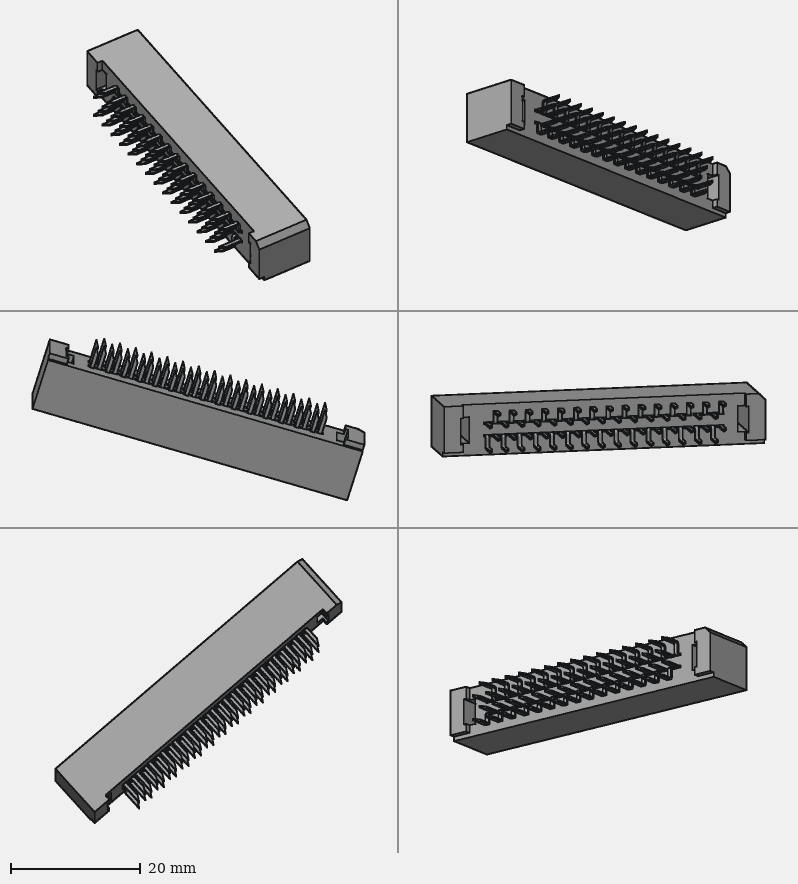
import cadquery as cq
import math

LENGTH = 50.7
HEIGHT = 8.0
OVERALL_DEPTH = 12.0
HOUSING_DEPTH = 8.25
CORNER_CHAMFER = 1.0

EAR_WIDTH = 3.05
EAR_PROJECTION = 0.9
EAR_BOTTOM = 0.72

SLOT_WIDTH = 1.52
SLOT_HEIGHT = 4.1
SLOT_END_MARGIN = 2.65

CONTACT_COUNT = 30
PITCH = 1.27
INNER_ROW_OFFSET = 1.0
OUTER_ROW_OFFSET = 2.84
THICKNESS = 0.3
PIN_WIDTH = 0.63
BASE_WIDTH = 1.0
BASE_PROJECTION = 0.14
BASE_EMBED = 0.3
INNER_BEND = 0.18
TIP_LENGTH = 1.05
TIP_WIDTH = 0.05

MID_HEIGHT = HEIGHT / 2
OUTER_BEND = INNER_BEND + THICKNESS
LEG_FRONT = BASE_PROJECTION + OUTER_BEND
PIN_REACH = OVERALL_DEPTH - HOUSING_DEPTH


def make_ear(side):
    ear = cq.Workplane("XY").box(
        EAR_WIDTH, HOUSING_DEPTH + EAR_PROJECTION, HEIGHT - EAR_BOTTOM, centered=(True, False, False)
    )
    return ear.translate((side * (LENGTH - EAR_WIDTH) / 2, -EAR_PROJECTION, EAR_BOTTOM))


def make_slot(side):
    center_x = side * (LENGTH / 2 - SLOT_END_MARGIN - SLOT_WIDTH / 2)
    slot = cq.Workplane("XY").box(SLOT_WIDTH, 2 * (HOUSING_DEPTH + EAR_PROJECTION), SLOT_HEIGHT)
    return slot.translate((center_x, 0, MID_HEIGHT))


def make_housing():
    housing = cq.Workplane("XY").box(LENGTH, HOUSING_DEPTH, HEIGHT, centered=(True, False, False))
    for side in (-1, 1):
        housing = housing.union(make_ear(side))
    housing = housing.edges("|Y and >X and >Z").chamfer(CORNER_CHAMFER)
    for side in (-1, 1):
        housing = housing.cut(make_slot(side))
    return housing


def make_base():
    """Wide contact root, reaching into the housing so the two fuse."""
    base = cq.Workplane("XY").box(BASE_WIDTH, BASE_PROJECTION + BASE_EMBED, THICKNESS)
    return base.translate((0, (BASE_EMBED - BASE_PROJECTION) / 2, INNER_ROW_OFFSET))


def make_pin_plan():
    """Plan outline of a pin with a one-sided taper, extruded through every height it may reach."""
    half = PIN_WIDTH / 2
    return (
        cq.Workplane("XY")
        .moveTo(-half, BASE_EMBED)
        .lineTo(half, BASE_EMBED)
        .lineTo(half, TIP_LENGTH - PIN_REACH)
        .lineTo(TIP_WIDTH - half, -PIN_REACH)
        .lineTo(-half, -PIN_REACH)
        .close()
        .extrude(MID_HEIGHT)
    )


def make_straight_contact():
    strip = cq.Workplane("XY").box(PIN_WIDTH, 2 * PIN_REACH, THICKNESS)
    strip = strip.translate((0, 0, INNER_ROW_OFFSET))
    return make_base().union(make_pin_plan().intersect(strip))


def make_bent_contact():
    """Contact that steps from the inner row out to the outer row through two right-angle bends."""
    inner_low = INNER_ROW_OFFSET - THICKNESS / 2
    inner_high = inner_low + THICKNESS
    outer_low = OUTER_ROW_OFFSET - THICKNESS / 2
    outer_high = outer_low + THICKNESS
    leg_front = -LEG_FRONT
    leg_back = leg_front + THICKNESS
    root_bend_y = leg_front + OUTER_BEND
    tail_bend_y = leg_back - OUTER_BEND
    root_bend_z = inner_low + OUTER_BEND
    tail_bend_z = outer_high - OUTER_BEND
    diagonal = math.sqrt(0.5)
    outer_arc = OUTER_BEND * diagonal
    inner_arc = INNER_BEND * diagonal
    strip = (
        cq.Workplane("YZ")
        .moveTo(BASE_EMBED, inner_low)
        .lineTo(root_bend_y, inner_low)
        .threePointArc((root_bend_y - outer_arc, root_bend_z - outer_arc), (leg_front, root_bend_z))
        .lineTo(leg_front, tail_bend_z)
        .threePointArc((tail_bend_y + inner_arc, tail_bend_z + inner_arc), (tail_bend_y, outer_low))
        .lineTo(-PIN_REACH, outer_low)
        .lineTo(-PIN_REACH, outer_high)
        .lineTo(tail_bend_y, outer_high)
        .threePointArc((tail_bend_y + outer_arc, tail_bend_z + outer_arc), (leg_back, tail_bend_z))
        .lineTo(leg_back, root_bend_z)
        .threePointArc((root_bend_y - inner_arc, root_bend_z - inner_arc), (root_bend_y, inner_high))
        .lineTo(BASE_EMBED, inner_high)
        .close()
        .extrude(PIN_WIDTH / 2, both=True)
    )
    return make_base().union(make_pin_plan().intersect(strip))


def place_contacts():
    """Alternate straight and bent contacts along each row, so the rows are staggered."""
    straight_upper = make_straight_contact()
    bent_upper = make_bent_contact()
    straight_lower = straight_upper.mirror("XY")
    bent_lower = bent_upper.mirror("XY")
    contacts = []
    for index in range(CONTACT_COUNT):
        x = (index - (CONTACT_COUNT - 1) / 2) * PITCH
        if index % 2 == 0:
            pair = (straight_upper, bent_lower)
        else:
            pair = (bent_upper, straight_lower)
        for contact in pair:
            contacts.append(contact.translate((x, 0, MID_HEIGHT)).val())
    return contacts


housing = make_housing().val()
result = cq.Workplane("XY").newObject([housing.fuse(*place_contacts())])